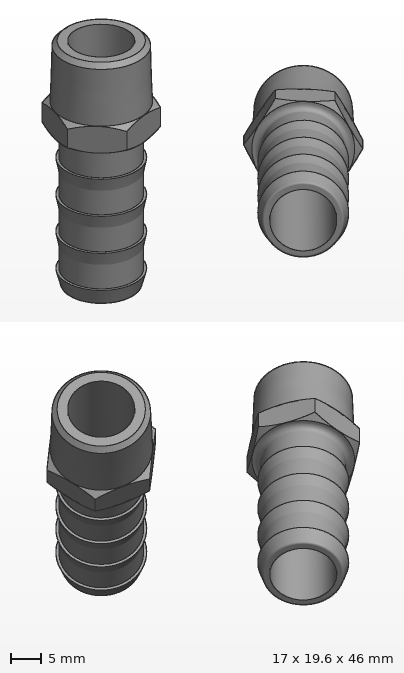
import cadquery as cq
import math

total_height = 46.0
bore_radius = 5.5

stem_radius = 7.0
barb_radius = 7.5
barb_height = 2.5
barb_pitch = 7.0
upper_barb_count = 3
first_barb_top = 3.05
tip_radius = 6.65
tip_rounding = 0.35

hex_bottom = 29.5
hex_top = 34.6
hex_across_flats = 17.0
hex_face_radius = 8.45
hex_chamfer_angle = 30.0
neck_fillet = 1.0

thread_base_radius = hex_face_radius
thread_end_radius = 8.15
thread_chamfer = 0.87


def revolve_profile(profile):
    """Turn a closed radius/height outline about the Z axis."""
    return profile.close().revolve(360, (0, 0, 0), (0, 1, 0))


def cone(bottom_radius, top_radius, bottom, top):
    return revolve_profile(
        cq.Workplane("XZ")
        .moveTo(0, bottom)
        .lineTo(bottom_radius, bottom)
        .lineTo(top_radius, top)
        .lineTo(0, top)
    )


def make_stem():
    """Cylinder from the first barb up to the hexagon, flaring into its lower face."""
    return revolve_profile(
        cq.Workplane("XZ")
        .moveTo(0, first_barb_top)
        .lineTo(stem_radius, first_barb_top)
        .lineTo(stem_radius, hex_bottom - neck_fillet)
        .radiusArc((stem_radius + neck_fillet, hex_bottom), neck_fillet)
        .lineTo(0, hex_bottom)
    )


def make_tip():
    """Lowest barb, tapering to a rounded end."""
    tip = cone(tip_radius, barb_radius, 0, first_barb_top)
    return tip.faces("<Z").edges().fillet(tip_rounding)


def make_hexagon():
    """Hexagon with corners on the Y axis and conical chamfers on both faces."""
    corner_radius = hex_across_flats / 2 / math.cos(math.radians(30))
    height = hex_top - hex_bottom
    prism = (
        cq.Workplane("XY", origin=(0, 0, hex_bottom))
        .polygon(6, 2 * corner_radius)
        .extrude(height)
        .rotate((0, 0, 0), (0, 0, 1), 30)
    )
    corner_drop = (corner_radius - hex_face_radius) * math.tan(math.radians(hex_chamfer_angle))
    envelope = revolve_profile(
        cq.Workplane("XZ")
        .moveTo(0, hex_bottom)
        .lineTo(hex_face_radius, hex_bottom)
        .lineTo(corner_radius, hex_bottom + corner_drop)
        .lineTo(corner_radius, hex_top - corner_drop)
        .lineTo(hex_face_radius, hex_top)
        .lineTo(0, hex_top)
    )
    return prism.intersect(envelope)


def make_thread():
    """Plain tapered body of the thread with a chamfered end."""
    chamfer_bottom = total_height - thread_chamfer
    return revolve_profile(
        cq.Workplane("XZ")
        .moveTo(0, hex_top)
        .lineTo(thread_base_radius, hex_top)
        .lineTo(thread_end_radius, chamfer_bottom)
        .lineTo(thread_end_radius - thread_chamfer, total_height)
        .lineTo(0, total_height)
    )


body = make_stem().union(make_tip())
for barb_number in range(1, upper_barb_count + 1):
    barb_top = first_barb_top + barb_number * barb_pitch
    body = body.union(cone(stem_radius, barb_radius, barb_top - barb_height, barb_top))
body = body.union(make_hexagon()).union(make_thread())

bore = cq.Workplane("XY").circle(bore_radius).extrude(total_height)
result = body.cut(bore)